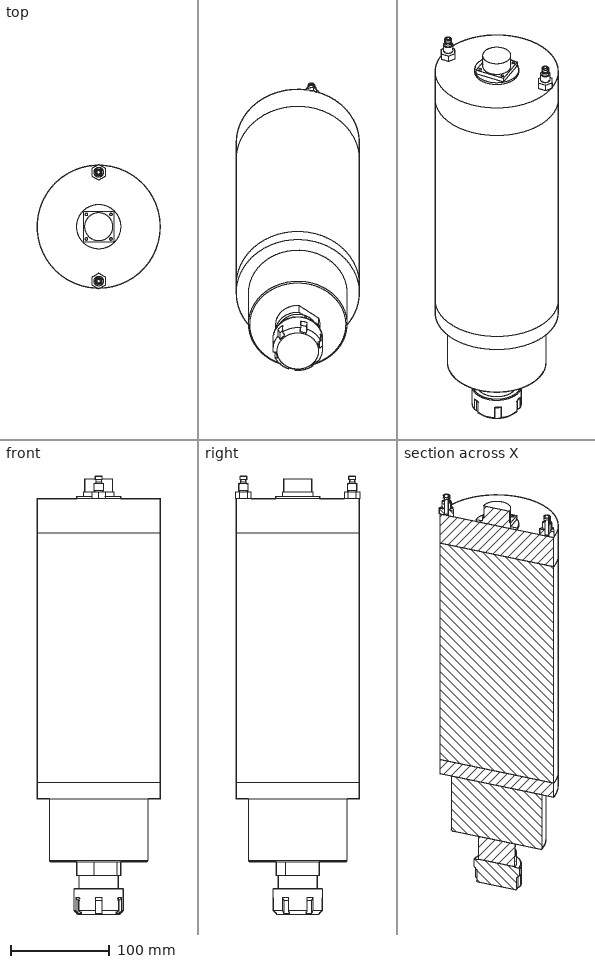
import cadquery as cq
import math

nut_height = 26.5
neck_length = 13.0
collar_length = 14.0
nose_length = 64.0
flange_height = 16.5
tube_length = 253.0
cap_height = 34.5
total_height = 444.5

nut_top = nut_height
collar_bottom = nut_top + neck_length
nose_bottom = collar_bottom + collar_length
flange_bottom = nose_bottom + nose_length
tube_bottom = flange_bottom + flange_height
cap_bottom = tube_bottom + tube_length
cap_top = cap_bottom + cap_height

motor_diameter = 125.0
nose_diameter = 100.0
nose_chamfer = 1.5

collar_diameter = 45.0
collar_across_flats = 37.5
flats_angle = 22.0
neck_diameter = 40.0

nut_diameter = 50.2
nut_top_chamfer = 1.0
nut_bottom_chamfer = 4.0
slot_count = 6
slot_width = 6.5
slot_height = 17.5
slot_depth = 3.0
slot_first_angle = 90.0

seal_diameter = 45.0
seal_height = 2.2
plate_side = 31.0
plate_height = 4.5
plug_diameter = 28.5
plug_height = 13.5
screw_hole_diameter = 2.5
screw_hole_spacing = 25.0

fitting_spacing = 110.2
hex_across_flats = 14.0
hex_height = 6.5
stem_radius = 5.0
stem_height = 8.5
foot_chamfer = 1.5
cone_radius = 3.5
cone_height = 2.0
throat_radius = 2.5
throat_height = 2.2
head_radius = 3.5
head_chamfer = 1.0
bore_radius = 2.0
hex_corner_diameter = hex_across_flats / math.cos(math.pi / 6)


def cylinder(diameter, bottom, height):
    return cq.Workplane("XY").workplane(offset=bottom).circle(diameter / 2).extrude(height)


def make_nose():
    return cylinder(nose_diameter, nose_bottom, nose_length).faces("<Z").chamfer(nose_chamfer)


def make_shaft():
    """Collar with two spanner flats, and the plain neck below it."""
    collar = cylinder(collar_diameter, collar_bottom, collar_length)
    between_flats = (
        cq.Workplane("XY").workplane(offset=collar_bottom)
        .rect(collar_diameter, collar_across_flats)
        .extrude(collar_length)
        .rotate((0, 0, 0), (0, 0, 1), flats_angle)
    )
    neck = cylinder(neck_diameter, nut_top, neck_length)
    return collar.intersect(between_flats).union(neck)


def make_collet_nut():
    """Round nut with spanner slots that are open at the bottom and slope out at the top."""
    nut = cylinder(nut_diameter, 0, nut_height)
    nut = nut.faces(">Z").chamfer(nut_top_chamfer)
    nut = nut.faces("<Z").chamfer(nut_bottom_chamfer)
    outer_radius = nut_diameter / 2
    floor_radius = outer_radius - slot_depth
    slot = (
        cq.Workplane("XZ")
        .polyline([
            (floor_radius, 0),
            (outer_radius + slot_depth, 0),
            (outer_radius + slot_depth, slot_height + slot_depth),
            (floor_radius, slot_height - slot_depth),
        ])
        .close()
        .extrude(slot_width / 2, both=True)
    )
    for index in range(slot_count):
        angle = slot_first_angle + index * 360 / slot_count
        nut = nut.cut(slot.rotate((0, 0, 0), (0, 0, 1), angle))
    return nut


def make_connector():
    """Round seal, square plate with four screw holes, and a round plug."""
    plate_bottom = cap_top + seal_height
    plate = (
        cq.Workplane("XY").workplane(offset=plate_bottom)
        .rect(plate_side, plate_side)
        .extrude(plate_height)
        .faces(">Z").workplane()
        .rect(screw_hole_spacing, screw_hole_spacing, forConstruction=True)
        .vertices()
        .hole(screw_hole_diameter, plate_height)
    )
    seal = cylinder(seal_diameter, cap_top, seal_height)
    plug = cylinder(plug_diameter, plate_bottom + plate_height, plug_height)
    return seal.union(plate).union(plug)


def make_fitting(y):
    """Hexagonal base with a bored, turned stem that ends in a small head."""
    base = (
        cq.Workplane("XY").workplane(offset=cap_top)
        .polygon(6, hex_corner_diameter)
        .extrude(hex_height)
        .rotate((0, 0, 0), (0, 0, 1), 90)
    )
    stem_bottom = cap_top + hex_height
    stem_top = stem_bottom + stem_height
    cone_top = stem_top + cone_height
    head_bottom = cone_top + throat_height
    stem = (
        cq.Workplane("XZ")
        .polyline([
            (0, stem_bottom),
            (stem_radius - foot_chamfer, stem_bottom),
            (stem_radius, stem_bottom + foot_chamfer),
            (stem_radius, stem_top),
            (cone_radius, stem_top),
            (throat_radius, cone_top),
            (throat_radius, head_bottom),
            (head_radius, head_bottom),
            (head_radius, total_height - head_chamfer),
            (head_radius - head_chamfer, total_height),
            (0, total_height),
        ])
        .close()
        .revolve(360, (0, 0, 0), (0, 1, 0))
    )
    bore = cylinder(2 * bore_radius, cap_top, total_height - cap_top)
    return base.union(stem).cut(bore).translate((0, y, 0))


rear_cap = cylinder(motor_diameter, cap_bottom, cap_height)
motor_tube = cylinder(motor_diameter, tube_bottom, tube_length)
front_flange = cylinder(motor_diameter, flange_bottom, flange_height)
nose = make_nose()
shaft = make_shaft()
collet_nut = make_collet_nut()
connector = make_connector()
fittings = [make_fitting(side * fitting_spacing / 2) for side in (-1, 1)]

result = cq.Compound.makeCompound([
    rear_cap.val(),
    motor_tube.val(),
    front_flange.val(),
    nose.val(),
    shaft.val(),
    collet_nut.val(),
    connector.val(),
    *[fitting.val() for fitting in fittings],
])